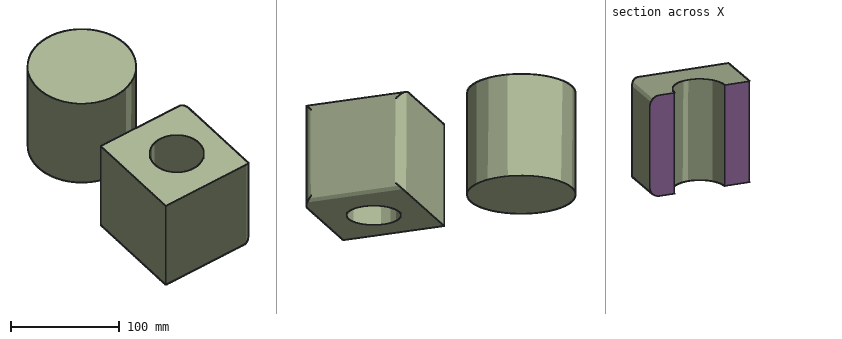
import cadquery as cq

size = 100.0
overall_length = 245.92
bore_diameter = 50.0
back_fillet = 10.0

centre_spacing = overall_length - size


def make_cylinder():
    """Plain round cylinder standing on Z = 0, centred on the origin."""
    return cq.Workplane("XY").circle(size / 2).extrude(size)


def make_block():
    """Cube with its four +Y face edges rounded and a vertical through bore."""
    cube = cq.Workplane("XY").center(centre_spacing, 0).rect(size, size).extrude(size)
    rounded = cube.faces(">Y").edges().fillet(back_fillet)
    bore = cq.Workplane("XY").center(centre_spacing, 0).circle(bore_diameter / 2).extrude(size)
    return rounded.cut(bore)


cylinder = make_cylinder()
block = make_block()

result = cq.Compound.makeCompound([cylinder.val(), block.val()])